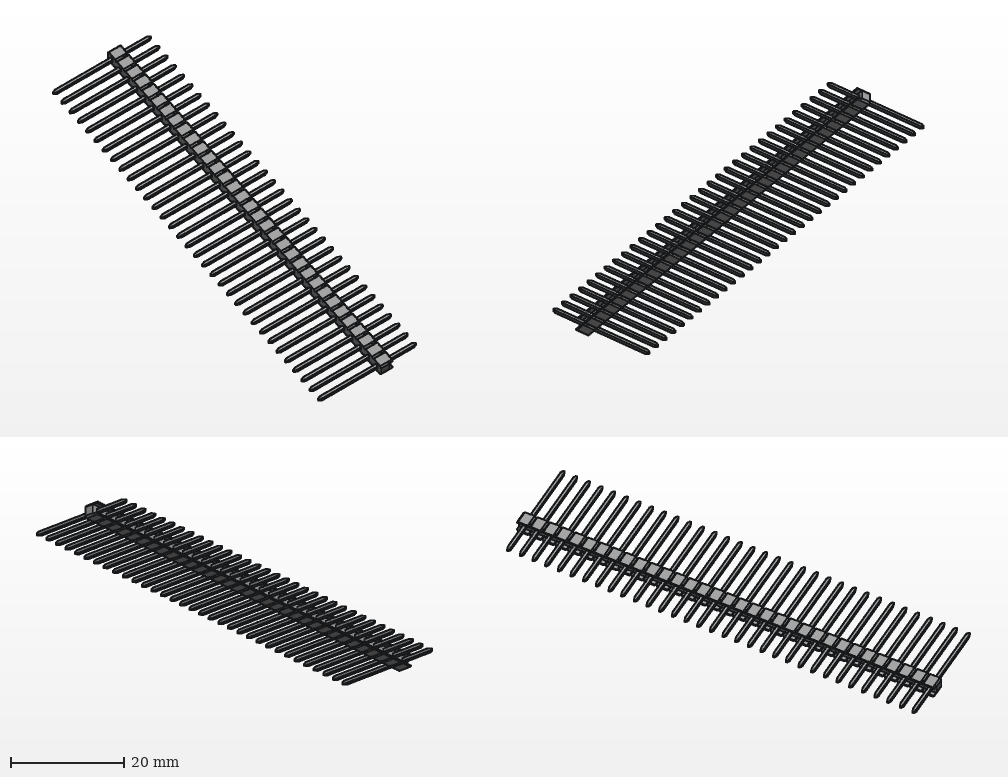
import cadquery as cq

pin_count = 33
row_length = 83.8
pitch = row_length / pin_count

body_height = 2.5
body_depth = 2.6
chamfer_width = 0.3
chamfer_height = 0.4
channel_depth = 0.8
channel_height = 1.85

pin_width = 0.64
pin_length = 21.1
front_reach = 12.65
pin_shift = 0.1
tip_length = 0.6
tip_width = 0.3

front_tip_y = -front_reach
back_tip_y = front_tip_y + pin_length
segment_centres = [(i - (pin_count - 1) / 2) * pitch for i in range(pin_count)]


def make_segment():
    """One housing block on X = 0, octagonal across its width and height."""
    half_pitch = pitch / 2
    half_height = body_height / 2
    flat_x = half_pitch - chamfer_width
    flat_z = half_height - chamfer_height
    outline = [
        (half_pitch, flat_z),
        (flat_x, half_height),
        (-flat_x, half_height),
        (-half_pitch, flat_z),
        (-half_pitch, -flat_z),
        (-flat_x, -half_height),
        (flat_x, -half_height),
        (half_pitch, -flat_z),
    ]
    return cq.Workplane("XZ").polyline(outline).close().extrude(-body_depth)


def make_channel():
    """Cutter for the channel along the whole back face of the housing."""
    cutter = cq.Workplane("XY").box(row_length, channel_depth, channel_height)
    return cutter.translate((0, body_depth - channel_depth / 2, 0))


def pin_tip(base_y, direction):
    """Tapered pin end that narrows from base_y along +Y (1) or -Y (-1)."""
    base = cq.Plane(origin=(0, base_y, 0), xDir=(1, 0, 0), normal=(0, direction, 0))
    tip = cq.Workplane(base).rect(pin_width, pin_width)
    return tip.workplane(offset=tip_length).rect(tip_width, tip_width).loft(ruled=True)


def make_pin():
    """Square pin on X = 0 with a taper at both ends."""
    shank_length = pin_length - 2 * tip_length
    shank = cq.Workplane("XY").box(pin_width, shank_length, pin_width)
    shank = shank.translate((0, (front_tip_y + back_tip_y) / 2, 0))
    back_tip = pin_tip(back_tip_y - tip_length, 1)
    front_tip = pin_tip(front_tip_y + tip_length, -1)
    return shank.union(back_tip).union(front_tip)


segment = make_segment()
housing = cq.Workplane("XY")
for x in segment_centres:
    housing = housing.union(segment.translate((x, 0, 0)))
housing = housing.cut(make_channel())

pin = make_pin()
result = housing
for x in segment_centres:
    result = result.union(pin.translate((x - pin_shift, 0, 0)))